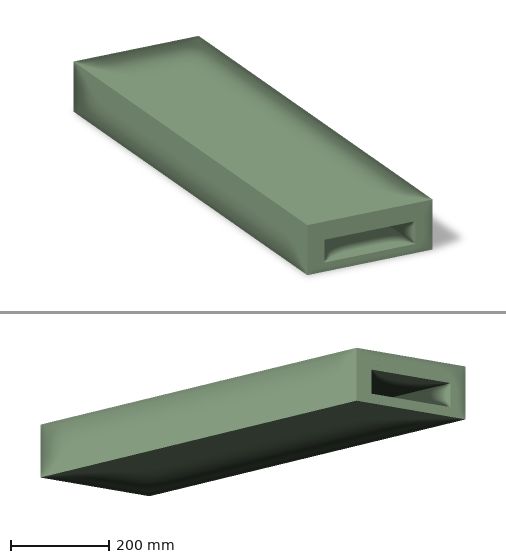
import cadquery as cq

length = 1000.0
width = 290.0
height = 110.0

base_thickness = 20.0
lid_thickness = 30.0
wall_thickness = 40.0
liner_thickness = 10.0

wall_height = height - base_thickness - lid_thickness
channel_width = width - 2 * wall_thickness
lid_bottom = height - lid_thickness
wall_offset = (width - wall_thickness) / 2


def make_board(board_width, thickness, bottom, center_y=0.0):
    """Full-length board centred on X, resting at height `bottom`."""
    return (
        cq.Workplane("XY")
        .box(length, board_width, thickness, centered=(True, True, False))
        .translate((0, center_y, bottom))
    )


base = make_board(width, base_thickness, 0.0)

walls = []
for side in (-1, 1):
    wall = make_board(wall_thickness, wall_height, base_thickness, side * wall_offset)
    walls.append(wall.val())

lid = make_board(width, lid_thickness, lid_bottom)

liner = make_board(channel_width, liner_thickness, lid_bottom - liner_thickness)

result = cq.Compound.makeCompound([base.val(), *walls, lid.val(), liner.val()])